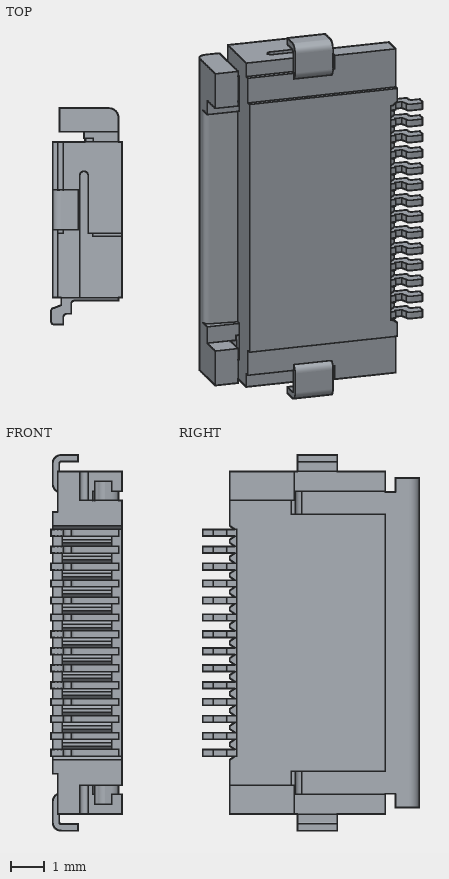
import cadquery as cq
import math


housing_left = 0.05
housing_right = 2.1
housing_length = 4.6
housing_half_height = 5.06
end_left = 0.2
end_start_z = 3.87

pin_count = 14
pin_pitch = 0.5
pin_width = 0.2
pin_right = 2.0
pin_tail_length = 0.8
pin_bar_thickness = 0.09
pin_root_left = 0.2
pin_neck_left = 0.3
row_half_height = (pin_count - 1) * pin_pitch / 2 + pin_width / 2
recess_depth = 0.2
groove_straight = 0.05
groove_flare = 0.1
rib_left = 0.34
rib_right = 1.8

notch_left = 0.85
notch_floor_z = 4.21
notch_depth = 1.9
slit_width = 0.25
slit_depth = 3.73

channel_start_y = 1.81
channel_left = 1.23
channel_top_z = 4.47
channel_high_left = 1.3
channel_high_right = 1.8
channel_high_top_z = 4.77

lever_end_y = 5.6
lever_right = 2.0
lever_round = 0.3
head_left = 0.25
head_start_y = 4.89
head_bottom_z = 3.79
head_top_z = 4.87
arm_left = 0.97
arm_top_z = 4.46
neck_end_y = 4.7
neck_bottom_z = 3.65
foot_left = 1.0
neck_left = 1.03
neck_top_step = 0.03
neck_top_right = 1.25
bar_top_z = row_half_height
bar_bottom_z = -3.28
bar_left = 1.15
bar_slope = math.radians(6)
bar_round = 0.17

clip_start_y = 2.0
clip_end_y = 3.18
clip_tip_x = 0.8
clip_top_z = 5.55
clip_bottom_z = 4.44
clip_thickness = 0.2
clip_outer_radius = 0.25
clip_inner_radius = clip_outer_radius - clip_thickness
clip_pocket_right = 0.36

overlap = 0.1


def box(x0, x1, y0, y1, z0, z1):
    """Axis-aligned box between two corners."""
    return cq.Workplane("XY").box(x1 - x0, y1 - y0, z1 - z0, centered=False).translate((x0, y0, z0))


def both_ends(upper):
    """The body at the +Z end together with its mirror image at the -Z end."""
    return upper.union(upper.mirror("XY"))


def make_housing():
    core = box(housing_left, housing_right, 0, housing_length, -end_start_z, end_start_z)
    ends = box(end_left, housing_right, 0, housing_length, -housing_half_height, housing_half_height)
    return core.union(ends)


def pin_recess():
    """Straight trough along the pin row, flared at both ends."""
    half = row_half_height
    wide = half + groove_flare
    straight_y = recess_depth - groove_straight
    outline = [(-overlap, wide), (0, wide), (straight_y, half), (recess_depth, half)]
    outline += [(y, -z) for y, z in reversed(outline)]
    trough_length = housing_right - housing_left + 2 * overlap
    trough = cq.Workplane("YZ").polyline(outline).close().extrude(trough_length)
    return trough.translate((housing_left - overlap, 0, 0))


def pin_rib(z):
    """Tapered rib between two neighbouring pins."""
    base = (pin_pitch - pin_width) / 2
    tip = base - groove_flare
    straight_y = recess_depth - groove_straight
    outline = [(0, tip), (straight_y, base), (recess_depth + overlap, base)]
    outline += [(y, -z) for y, z in reversed(outline)]
    rib = cq.Workplane("YZ").polyline(outline).close().extrude(rib_right - rib_left)
    return rib.translate((rib_left, 0, z))


def pin(z):
    """Contact bar across the housing face with a gull-wing solder tail."""
    tail_right = 0.37
    neck_right = 0.6
    bar_y = -pin_bar_thickness
    knee_y = -0.48
    shoulder_y = -0.22
    foot_side_y = -0.4
    fillet = 0.1
    arch_y = -0.3
    tail = (
        cq.Workplane("XY")
        .moveTo(pin_root_left, recess_depth + overlap)
        .lineTo(pin_root_left, 0)
        .lineTo(pin_neck_left, 0)
        .lineTo(pin_neck_left, shoulder_y)
        .lineTo(fillet, arch_y)
        .radiusArc((0, foot_side_y), -fillet)
        .lineTo(0, fillet - pin_tail_length)
        .radiusArc((fillet, -pin_tail_length), -fillet)
        .lineTo(tail_right, -pin_tail_length)
        .lineTo(tail_right, knee_y - fillet)
        .radiusArc((tail_right + fillet, knee_y), fillet)
        .lineTo(neck_right, knee_y)
        .lineTo(neck_right, bar_y - fillet)
        .radiusArc((neck_right + fillet, bar_y), fillet)
        .lineTo(pin_right, bar_y)
        .lineTo(pin_right, recess_depth + overlap)
        .close()
        .extrude(pin_width)
    )
    return tail.translate((0, 0, z - pin_width / 2))


def end_notch():
    """Corner notch with a round-ended slit running on from it."""
    height = housing_half_height - notch_floor_z + overlap
    slit_right = notch_left + slit_width
    slit_radius = slit_width / 2
    slit_center = (notch_left + slit_radius, slit_depth - slit_radius)
    corner = box(notch_left, housing_right + overlap, -overlap, notch_depth,
                 notch_floor_z, notch_floor_z + height)
    slit = box(notch_left, slit_right, -overlap, slit_center[1], notch_floor_z, notch_floor_z + height)
    round_end = cq.Workplane("XY").center(*slit_center).circle(slit_radius).extrude(height)
    return corner.union(slit).union(round_end.translate((0, 0, notch_floor_z)))


def arm_nose():
    """Rounded tip of the lever arm inside its channel."""
    flank_start_y = 2.4
    flank_mid_y = 2.15
    flank_end = (1.4, 2.05)
    flank_bulge = (1.49, 1.96)
    crest = (1.6, 1.93)
    slope_end = (1.8, 1.97)
    side_y = 2.12
    return (
        cq.Workplane("XY")
        .moveTo(channel_left, housing_length)
        .lineTo(channel_left, flank_start_y)
        .lineTo(channel_high_left, flank_mid_y)
        .lineTo(*flank_end)
        .threePointArc(flank_bulge, crest)
        .lineTo(*slope_end)
        .tangentArcPoint((lever_right, side_y), relative=False)
        .lineTo(lever_right, housing_length)
        .close()
        .extrude(channel_high_top_z + overlap)
    )


def arm_channel():
    """Channel open towards +X, less the space taken by the arm tip."""
    low = box(channel_left, housing_right + overlap, channel_start_y, housing_length,
              head_bottom_z, channel_top_z)
    high = box(channel_high_left, channel_high_right, channel_start_y, housing_length,
               head_bottom_z, channel_high_top_z)
    return low.union(high).cut(arm_nose())


def clip_pocket():
    floor_z = clip_bottom_z + clip_thickness
    return box(0, clip_pocket_right, notch_depth, housing_length + overlap,
               floor_z, housing_half_height + overlap)


def lever_end(bar_end_z):
    """Arm and head of the lever, pointing to +Z from the given end of the central bar."""
    root_y = housing_length - overlap
    foot = box(foot_left, lever_right, root_y, lever_end_y, bar_end_z, head_bottom_z)
    arm = box(arm_left, lever_right, root_y, head_start_y, head_bottom_z, arm_top_z)
    head = box(head_left, lever_right, head_start_y, lever_end_y, head_bottom_z, head_top_z)
    neck_side = box(arm_left, neck_left, housing_length, neck_end_y,
                    neck_bottom_z, arm_top_z)
    neck_top = box(arm_left, neck_top_right, housing_length, neck_end_y,
                   arm_top_z - neck_top_step, arm_top_z)
    body = foot.union(arm).union(head)
    body = body.edges("|Z and >X and >Y").fillet(lever_round)
    return body.cut(neck_side).cut(neck_top)


def lever_bar():
    """Central bar with a slightly sloping -X face."""
    rise = (lever_end_y - housing_length) * math.tan(bar_slope)
    bar_height = bar_top_z - bar_bottom_z
    outline = [
        (lever_right, housing_length - overlap),
        (bar_left, housing_length - overlap),
        (bar_left, housing_length),
        (bar_left + rise, lever_end_y),
        (lever_right, lever_end_y),
    ]
    bar = cq.Workplane("XY").polyline(outline).close().extrude(bar_height)
    bar = bar.edges("|Z and >Y and >X").fillet(lever_round)
    bar = bar.edges(cq.NearestToPointSelector((bar_left + rise, lever_end_y, bar_height / 2)))
    bar = bar.fillet(bar_round)
    return bar.translate((0, 0, bar_bottom_z))


def clip():
    """Bent hold-down strip whose lower end curls into the housing."""
    left = housing_left
    bend_x = left + clip_outer_radius
    inner_x = left + clip_thickness
    inner_z = clip_top_z - clip_thickness
    return (
        cq.Workplane("XZ")
        .moveTo(clip_tip_x, clip_top_z)
        .lineTo(bend_x, clip_top_z)
        .radiusArc((left, clip_top_z - clip_outer_radius), -clip_outer_radius)
        .lineTo(left, clip_bottom_z + clip_outer_radius)
        .radiusArc((bend_x, clip_bottom_z), -clip_outer_radius)
        .lineTo(bend_x, clip_bottom_z + clip_thickness)
        .lineTo(inner_x, clip_bottom_z + clip_thickness)
        .lineTo(inner_x, inner_z - clip_inner_radius)
        .radiusArc((bend_x, inner_z), clip_inner_radius)
        .lineTo(clip_tip_x, inner_z)
        .close()
        .extrude(clip_start_y - clip_end_y)
        .translate((0, clip_start_y, 0))
    )


result = make_housing().cut(pin_recess())
result = result.cut(both_ends(end_notch()))
result = result.cut(both_ends(arm_channel()))
result = result.cut(both_ends(clip_pocket()))

first_pin_z = -(pin_count - 1) * pin_pitch / 2
for i in range(pin_count):
    result = result.union(pin(first_pin_z + i * pin_pitch))
for i in range(pin_count - 1):
    result = result.union(pin_rib(first_pin_z + (i + 0.5) * pin_pitch))

result = result.union(lever_bar())
result = result.union(lever_end(bar_top_z)).union(lever_end(-bar_bottom_z).mirror("XY"))
result = result.union(both_ends(clip()))